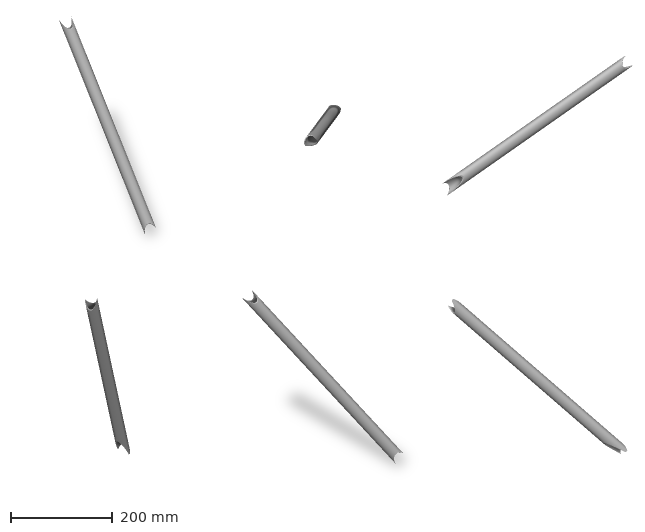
import cadquery as cq
import math

tube_diameter = 25.0
wall = 1.65
joint_spacing = 461.05
slope_y = 0.14287
slope_z = -0.54083
seam_roll = 3.0

end_allowance = 30.0
cutter_length = 160.0

UPPER_END = -0.5
LOWER_END = 0.5

neighbour_tubes = [
    (UPPER_END, 46.81, 4.14, -0.110, 12.653),
    (UPPER_END, 125.37, -12.20, 0.232, 12.490),
    (LOWER_END, 109.30, -8.00, 0.351, 12.962),
    (LOWER_END, 29.53, -24.20, 0.015, 12.429),
]

along = cq.Vector(1, slope_y, slope_z).normalized()
up = along.cross(cq.Vector(0, 1, 0)).normalized()
if up.z < 0:
    up = up * -1
side = up.cross(along)


def split_round_bar(radius):
    """Bar along the tube axis whose skin is two half-round faces."""
    length = joint_spacing + 2 * end_allowance
    roll = math.radians(seam_roll)
    seam_direction = side * math.cos(roll) - up * math.sin(roll)
    plane = cq.Plane(
        origin=(along * (-length / 2)).toTuple(),
        xDir=seam_direction.toTuple(),
        normal=along.toTuple(),
    )
    outline = (
        cq.Workplane(plane)
        .moveTo(-radius, 0)
        .threePointArc((0, radius), (radius, 0))
        .threePointArc((0, -radius), (-radius, 0))
        .close()
    )
    return outline.extrude(length, clean=False)


def mitre_cutter(joint, lean, roll, offset, radius):
    """Cylinder with the path of a neighbouring tube through a joint."""
    lean = math.radians(lean)
    roll = math.radians(roll)
    outward = up * math.cos(roll) + side * math.sin(roll)
    direction = along * math.cos(lean) + outward * math.sin(lean)
    middle = along * (joint * joint_spacing) + side * offset
    start = middle - direction * (cutter_length / 2)
    return cq.Workplane(cq.Solid.makeCylinder(radius, cutter_length, start, direction))


outer_radius = tube_diameter / 2
tube = split_round_bar(outer_radius).cut(split_round_bar(outer_radius - wall), clean=False)

for neighbour in neighbour_tubes:
    tube = tube.cut(mitre_cutter(*neighbour), clean=False)

result = cq.Workplane(max(tube.solids().vals(), key=lambda piece: piece.Volume()))